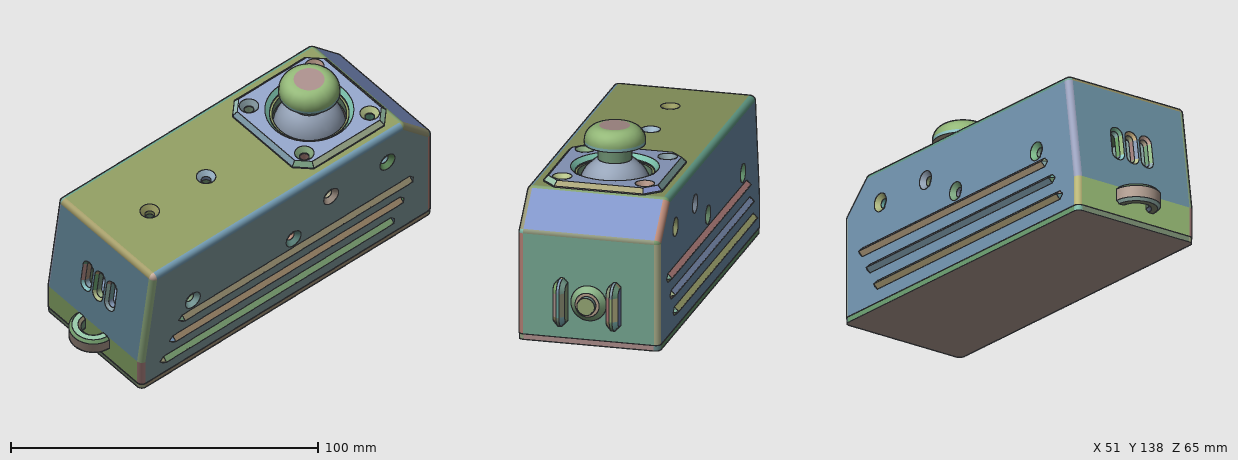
import cadquery as cq
import math


edge_radius = 2.0
wall = 3.0
screw_hole = 3.2
screw_sink = 6.3
trim_chamfer = 1.5

plate_thickness = 2.0
plate_inset = 0.1

body_width = 48.0
body_length = 124.3
body_top = 49.0
front_fold_height = 12.0
front_lean = 5.2
rear_chamfer = 11.7

bezel_side = 40.0
bezel_corner_cut = 5.0
bezel_thickness = 2.0
bezel_distance = 32.3
bezel_y = body_length - bezel_distance
bezel_screw_offset = 14.0
bezel_opening = 26.0
roof_opening = 24.3
boss_diameter = 8.0
boss_bottom = 36.0
ball_diameter = 24.0
ball_height = 43.0
stem_diameter = 11.0
cap_diameter = 20.0
cap_height = 6.0
cap_rounding = 5.0
joystick_top = 65.0

side_hole_groups = [
    ((19.3, 43.3), 36.6),
    ((59.3, 102.3), 27.5),
]
top_hole_distances = (76.3, 100.3)

rib_length = 100.0
rib_count = 3
rib_lowest_height = 8.0
rib_height_pitch = 7.0
rib_lowest_distance = 16.3
rib_stagger = 4.0

slot_count = 3
slot_pitch = 6.0
slot_width = 3.0
slot_length = 10.0
slot_chamfer = 1.0
slot_height = 28.3

ring_radius = 8.0
ring_hole = 8.0
ring_thickness = 6.0
ring_chamfer = 1.0

button_height = 14.5
lug_projection = 5.7
lug_height = 16.0
lug_thickness = 4.0
lug_corner_radius = 4.0
lug_offset = 9.0
button_flange = 12.0
button_shank = 8.0
button_tip = 6.0
button_flange_height = 2.0
button_projection = 3.7


def countersunk_hole(point, inward, depth):
    """Cutter for a screw hole that starts at a surface point and runs along the inward direction."""
    axis = cq.Vector(*inward)
    start = cq.Vector(*point)
    sink_depth = (screw_sink - screw_hole) / 2
    shaft = cq.Solid.makeCylinder(screw_hole / 2, depth, start, axis)
    sink = cq.Solid.makeCone(screw_sink / 2, screw_hole / 2, sink_depth, start, axis)
    return cq.Workplane(shaft.fuse(sink))


def side_profile():
    """Outline of the housing in the YZ plane."""
    return (
        cq.Workplane("YZ")
        .moveTo(0, plate_thickness)
        .lineTo(0, front_fold_height)
        .lineTo(front_lean, body_top)
        .lineTo(body_length - rear_chamfer, body_top)
        .lineTo(body_length, body_top - rear_chamfer)
        .lineTo(body_length, plate_thickness)
        .close()
    )


def is_sharp(edge):
    """True for the edges of the open underside and for the shallow fold of the front face."""
    box = edge.BoundingBox()
    on_underside = box.zmax < front_fold_height / 2
    runs_across = box.xlen > body_width / 2
    on_fold = runs_across and box.zmax < body_top / 2 and box.ymax < body_length / 2
    return on_underside or on_fold


def housing_shell():
    """Outer block with rounded edges, hollowed from below."""
    outer = side_profile().extrude(body_width / 2, both=True)
    rounded = [edge for edge in outer.edges().vals() if not is_sharp(edge)]
    outer = outer.newObject(rounded).fillet(edge_radius)
    cavity = side_profile().offset2D(-wall).extrude(body_width / 2 - wall, both=True)
    mouth = (
        cq.Workplane("XY", origin=(0, body_length / 2, plate_thickness))
        .rect(body_width - 2 * wall, body_length - 2 * wall)
        .extrude(wall)
    )
    return outer.cut(cavity).cut(mouth)


def bezel_screw_points():
    return [
        (side * bezel_screw_offset, bezel_y + end * bezel_screw_offset)
        for side in (-1, 1)
        for end in (-1, 1)
    ]


def add_bezel_seat(housing):
    """Screw bosses under the roof and the round opening for the joystick."""
    bosses = (
        cq.Workplane("XY", origin=(0, 0, boss_bottom))
        .pushPoints(bezel_screw_points())
        .circle(boss_diameter / 2)
        .extrude(body_top - wall - boss_bottom)
    )
    drills = (
        cq.Workplane("XY", origin=(0, 0, boss_bottom))
        .pushPoints(bezel_screw_points())
        .circle(screw_hole / 2)
        .extrude(body_top - boss_bottom)
    )
    opening = (
        cq.Workplane("XY", origin=(0, bezel_y, body_top - wall))
        .circle(roof_opening / 2)
        .extrude(wall)
    )
    return housing.union(bosses).cut(drills).cut(opening)


def cut_screw_holes(housing):
    for distances, height in side_hole_groups:
        for distance in distances:
            for side in (-1, 1):
                point = (side * body_width / 2, body_length - distance, height)
                housing = housing.cut(countersunk_hole(point, (-side, 0, 0), wall))
    for distance in top_hole_distances:
        point = (0, body_length - distance, body_top)
        housing = housing.cut(countersunk_hole(point, (0, 0, -1), wall))
    return housing


def grip_rib():
    """Triangular ridge with pointed ends, lying on the plane X = 0 and pointing to +X."""
    height = trim_chamfer
    tip = rib_length / 2
    shoulder = tip - height
    faces = []
    base = []
    for end in (-1, 1):
        base += [
            (0, end * shoulder, -end * height),
            (0, end * tip, 0),
            (0, end * shoulder, end * height),
        ]
        crest = (height, end * shoulder, 0)
        for side in (-1, 1):
            faces.append([(0, end * tip, 0), crest, (0, end * shoulder, side * height)])
    for side in (-1, 1):
        faces.append(
            [
                (0, -shoulder, side * height),
                (0, shoulder, side * height),
                (height, shoulder, 0),
                (height, -shoulder, 0),
            ]
        )
    faces.append(base)
    skins = [
        cq.Face.makeFromWires(cq.Wire.makePolygon([cq.Vector(*point) for point in face], close=True))
        for face in faces
    ]
    return cq.Workplane(cq.Solid.makeSolid(cq.Shell.makeShell(skins)))


def add_grip_ribs(housing):
    for index in range(rib_count):
        tip_distance = rib_lowest_distance - index * rib_stagger
        middle = body_length - tip_distance - rib_length / 2
        height = rib_lowest_height + index * rib_height_pitch
        rib = grip_rib().translate((body_width / 2, middle, height))
        housing = housing.union(rib).union(rib.mirror("YZ"))
    return housing


def cut_front_slots(housing):
    """Upright slots with chamfered rims, square to the sloping front face."""
    rise = body_top - front_fold_height
    face_y = front_lean * (slot_height - front_fold_height) / rise
    face = cq.Plane(
        origin=(0, face_y, slot_height),
        xDir=(1, 0, 0),
        normal=(0, -rise, front_lean),
    )
    for index in range(slot_count):
        x = (index - (slot_count - 1) / 2) * slot_pitch
        slot = cq.Workplane(face).center(x, 0).slot2D(slot_length, slot_width, 90).extrude(-2 * wall)
        rim = (
            cq.Workplane(face)
            .center(x, 0)
            .slot2D(slot_length + 2 * slot_chamfer, slot_width + 2 * slot_chamfer, 90)
            .extrude(-slot_chamfer, taper=45)
        )
        housing = housing.cut(slot).cut(rim)
    return housing


def add_lanyard_ring(housing):
    """Half ring on the front face, flush with the fold of that face."""
    disc = (
        cq.Workplane("XY", origin=(0, 0, front_fold_height - ring_thickness))
        .circle(ring_radius)
        .circle(ring_hole / 2)
        .extrude(ring_thickness)
        .faces("<Z or >Z")
        .chamfer(ring_chamfer)
    )
    front_half = cq.Workplane("XY").box(
        4 * ring_radius, 2 * ring_radius, 4 * ring_radius
    ).translate((0, -ring_radius, 0))
    return housing.union(disc.intersect(front_half))


def add_guard_lugs(housing):
    """Two rounded lugs that stand on the rear face beside the button."""
    blank_length = 2 * lug_projection
    lug = (
        cq.Workplane("YZ")
        .rect(blank_length, lug_height)
        .extrude(lug_thickness / 2, both=True)
        .edges("|X")
        .fillet(lug_corner_radius)
        .faces("<X or >X")
        .chamfer(trim_chamfer)
    )
    rear_half = cq.Workplane("XY").box(
        blank_length, blank_length, 2 * lug_height, centered=(True, False, True)
    )
    lug = lug.intersect(rear_half)
    for side in (-1, 1):
        housing = housing.union(lug.translate((side * lug_offset, body_length, button_height)))
    return housing


def cut_button_hole(housing):
    hole = cq.Solid.makeCylinder(
        button_shank / 2, wall, cq.Vector(0, body_length - wall, button_height), cq.Vector(0, 1, 0)
    )
    return housing.cut(cq.Workplane(hole))


def make_housing():
    housing = housing_shell()
    housing = add_bezel_seat(housing)
    housing = cut_screw_holes(housing)
    housing = add_grip_ribs(housing)
    housing = cut_front_slots(housing)
    housing = add_lanyard_ring(housing)
    housing = add_guard_lugs(housing)
    return cut_button_hole(housing)


def make_base_plate():
    return (
        cq.Workplane("XY", origin=(0, body_length / 2, 0))
        .rect(body_width - 2 * plate_inset, body_length - 2 * plate_inset)
        .extrude(plate_thickness)
        .edges("|Z")
        .fillet(edge_radius)
    )


def make_bezel():
    """Square plate with cut corners, a countersunk screw in each and a flared joystick opening."""
    bezel = (
        cq.Workplane("XY", origin=(0, bezel_y, body_top))
        .rect(bezel_side, bezel_side)
        .extrude(bezel_thickness)
        .edges("|Z")
        .chamfer(bezel_corner_cut)
        .faces(">Z")
        .chamfer(trim_chamfer)
    )
    top = body_top + bezel_thickness
    opening = (
        cq.Workplane("XY", origin=(0, bezel_y, body_top))
        .circle(bezel_opening / 2)
        .extrude(bezel_thickness)
    )
    flare = (
        cq.Workplane("XY", origin=(0, bezel_y, top))
        .circle(bezel_opening / 2 + trim_chamfer)
        .extrude(-trim_chamfer, taper=45)
    )
    bezel = bezel.cut(opening).cut(flare)
    for x, y in bezel_screw_points():
        bezel = bezel.cut(countersunk_hole((x, y, top), (0, 0, -1), bezel_thickness))
    return bezel


def make_joystick():
    """Ball, stem and mushroom cap turned about one upright axis."""
    ball_radius = ball_diameter / 2
    stem_radius = stem_diameter / 2
    cap_radius = cap_diameter / 2
    cap_bottom = joystick_top - cap_height
    neck_height = ball_height + math.sqrt(ball_radius**2 - stem_radius**2)
    flat_radius = cap_radius - cap_rounding
    shoulder_height = joystick_top - cap_rounding
    arc_reach = cap_rounding * math.sqrt(0.5)
    return (
        cq.Workplane("XZ", origin=(0, bezel_y, 0))
        .moveTo(0, ball_height - ball_radius)
        .threePointArc((ball_radius, ball_height), (stem_radius, neck_height))
        .lineTo(stem_radius, cap_bottom)
        .lineTo(cap_radius, cap_bottom)
        .lineTo(cap_radius, shoulder_height)
        .threePointArc(
            (flat_radius + arc_reach, shoulder_height + arc_reach), (flat_radius, joystick_top)
        )
        .lineTo(0, joystick_top)
        .close()
        .revolve(360, (0, 0, 0), (0, 1, 0))
    )


def make_button():
    """Round button with a coned flange on the rear face and a shank through the wall."""
    return (
        cq.Workplane("XY", origin=(0, body_length, button_height))
        .moveTo(0, -wall)
        .lineTo(button_shank / 2, -wall)
        .lineTo(button_shank / 2, 0)
        .lineTo(button_flange / 2, 0)
        .lineTo(button_flange / 2 - button_flange_height, button_flange_height)
        .lineTo(button_tip / 2, button_flange_height)
        .lineTo(button_tip / 2, button_projection)
        .lineTo(0, button_projection)
        .close()
        .revolve(360, (0, 0, 0), (0, 1, 0))
    )


housing = make_housing()
base_plate = make_base_plate()
bezel = make_bezel()
joystick = make_joystick()
button = make_button()

result = cq.Compound.makeCompound(
    [housing.val(), base_plate.val(), bezel.val(), joystick.val(), button.val()]
)